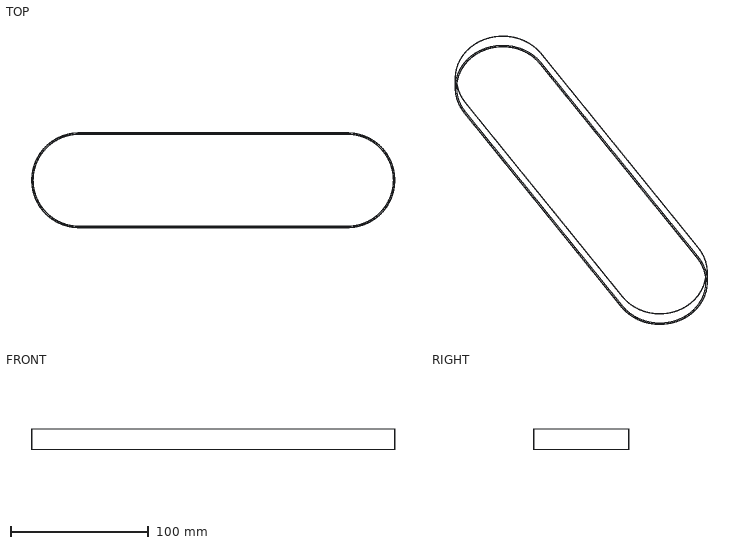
import cadquery as cq

length = 264.2
width = 69.2
height = 15.0
wall = 1.2

outer = cq.Workplane("XY").slot2D(length, width).extrude(height)
opening = cq.Workplane("XY").slot2D(length - 2 * wall, width - 2 * wall).extrude(height)

result = outer.cut(opening)